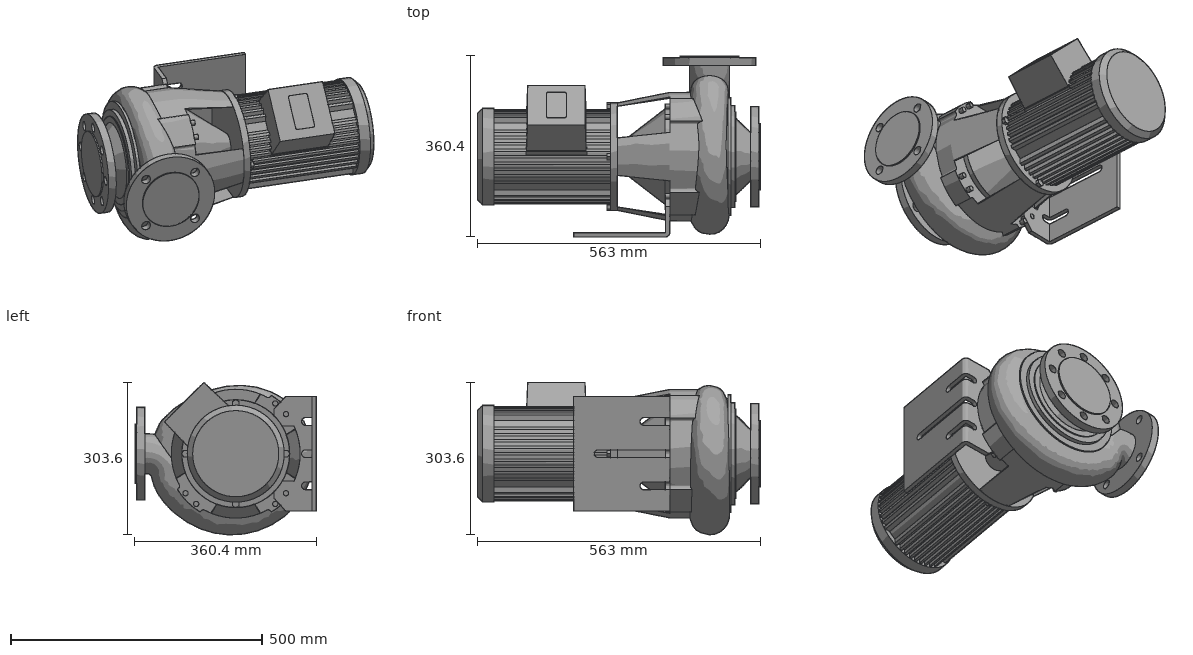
import cadquery as cq
import math


motor_rear_x = -462.0
motor_cap_front_x = -429.0
motor_cap_radius = 96.5
motor_cap_chamfer = 10.8
motor_body_radius = 85.2
fin_tip_radius = 94.0
fin_width = 5.0
fin_pitch = 12.7
fins_per_side = 4

box_tilt = 45.0
box_center_x = -304.7
box_top_height = 145.0
box_base_height = 72.5
box_top_length = 114.4
box_top_width = 111.0
box_base_length = 118.5
box_base_width = 115.0
box_gasket_length = 121.0
box_gasket_width = 116.0
box_gasket_thickness = 10.0
nameplate_length = 39.6
nameplate_width = 72.0
nameplate_thickness = 0.5
nameplate_corner = 4.0

flange_rear_x = -197.3
flange_front_x = -183.3
flange_radius = 215.0 / 2
screw_circle_radius = 100.0
screw_head_flats = 13.0
screw_head_height = 6.8

casing_face_x = -78.7
casing_radius = 128.2
arm_rear_radius = 107.0
arm_rear_inner_height = 100.0
arm_front_inner_height = 116.0
arm_rear_width = 75.0
arm_front_width = 96.6
hub_radius = 95.0
hub_length = 10.0
hub_cone_rear_radius = 22.0

lug_reach = 136.0
lug_half_width = 31.8
lug_root_fillet = 5.0
lug_angles = (45, 135, 225, 315)
stud_diameter = 10.43
stud_circle_radius = 127.2
stud_half_angle = 6.8
stud_length = 9.8

pipe_radius = 40.0
bend_radius = 48.6
bend_center_y = 176.0
volute_end_angle = 360 - math.degrees(math.atan2(bend_radius, bend_center_y))
volute_end_reach = math.hypot(bend_center_y, bend_radius) - bend_radius + pipe_radius
volute_stations = [
    (-8, 161.5, 37.5),
    (40, 149.0, 35.5),
    (90, 136.0, 34.7),
    (135, 145.5, 37.0),
    (180, 155.0, 39.0),
    (225, 158.0, 39.5),
    (270, 161.6, 40.0),
    (315, 169.5, 40.0),
    (volute_end_angle, volute_end_reach, pipe_radius),
]

core_radius = 110.0
cover_rear_x = 36.6
cover_front_x = 42.5
cover_radius = 235.12 / 2
collar_front_x = 50.4
collar_radius = 203.58 / 2
nozzle_rear_x = 52.7
nozzle_step_radius = 89.0
nozzle_rear_radius = 76.3
nozzle_front_radius = 48.0

pipe_flange_thickness = 16.0
raised_face_height = 3.0
flange_hole_diameter = 18.0
suction_face_x = 101.0
suction_flange_diameter = 200.0
suction_raised_diameter = 132.0
suction_hole_circle = 160.0
suction_hole_count = 8
suction_first_hole_angle = 0.0
discharge_face_y = 200.0
discharge_flange_diameter = 185.0
discharge_raised_diameter = 118.0
discharge_hole_circle = 145.0
discharge_hole_count = 4
discharge_first_hole_angle = 45.0

bracket_thickness = 9.0
bracket_foot_y = -160.36
bracket_rear_x = -270.5
bracket_half_height = 114.2
bracket_bend_radius = 10.2
bracket_inner_y = -76.4
bracket_neck_half_height = 89.0
bracket_shoulder_y = -99.5
bracket_opening_half_height = 54.7
slot_width = 15.4
slot_top_y = -131.0
side_slot_height = 64.0
side_slot_end_x = -138.0
middle_slot_end_x = -229.0


def turned(shape, angle):
    """Rotate a shape about the shaft axis."""
    return shape.rotate((0, 0, 0), (1, 0, 0), angle)


def disc(x_start, x_end, radius):
    """Cylinder on the shaft axis."""
    return cq.Workplane("YZ", origin=(x_start, 0, 0)).circle(radius).extrude(x_end - x_start)


def make_motor():
    """Finned motor body with a chamfered rear cap."""
    body_length = flange_rear_x - motor_cap_front_x
    motor = disc(motor_cap_front_x, flange_rear_x, motor_body_radius)
    fins = cq.Workplane("YZ", origin=(motor_cap_front_x, 0, 0))
    fin_places = [(k * fin_pitch, 0) for k in range(-fins_per_side, fins_per_side + 1)]
    upright_fins = fins.pushPoints(fin_places).rect(fin_width, 2 * fin_tip_radius).extrude(body_length)
    envelope = disc(motor_cap_front_x, flange_rear_x, fin_tip_radius)
    for angle in (0, 90):
        motor = motor.union(turned(upright_fins, angle).intersect(envelope))
    cap = disc(motor_rear_x, motor_cap_front_x, motor_cap_radius)
    cap = cap.faces("<X").chamfer(motor_cap_chamfer)
    return motor.union(cap)


def make_terminal_box():
    """Drafted box on a gasket block, with a thin nameplate on its lid."""
    lid_drop = box_top_height - box_base_height
    box = (
        cq.Workplane("XY", origin=(box_center_x, 0, box_base_height))
        .rect(box_base_length, box_base_width)
        .workplane(offset=lid_drop)
        .rect(box_top_length, box_top_width)
        .loft(ruled=True)
    )
    gasket = (
        cq.Workplane("XY", origin=(box_center_x, 0, box_base_height))
        .rect(box_gasket_length, box_gasket_width)
        .extrude(-box_gasket_thickness)
    )
    nameplate = (
        cq.Workplane("XY", origin=(box_center_x, 0, box_top_height))
        .rect(nameplate_length, nameplate_width)
        .extrude(nameplate_thickness)
        .edges("|Z")
        .fillet(nameplate_corner)
    )
    return turned(box.union(gasket).union(nameplate), -box_tilt)


def make_motor_flange():
    """Round flange with four hexagon screw heads on its rear face."""
    flange = disc(flange_rear_x, flange_front_x, flange_radius)
    across_corners = screw_head_flats / math.cos(math.radians(30))
    head = (
        cq.Workplane("YZ", origin=(flange_rear_x, screw_circle_radius, 0))
        .polygon(6, across_corners)
        .extrude(-screw_head_height)
    )
    for angle in (0, 90, 180, 270):
        flange = flange.union(turned(head, angle))
    return flange


def make_lantern():
    """Four tapered arms around an inner cone."""
    cone = (
        cq.Workplane("XY")
        .polyline([
            (flange_front_x, 0),
            (flange_front_x, arm_rear_radius),
            (casing_face_x, casing_radius),
            (casing_face_x, 0),
        ])
        .close()
        .revolve(360, (0, 0, 0), (1, 0, 0))
    )
    arm_plan = (
        cq.Workplane("XY")
        .polyline([
            (flange_front_x, -arm_rear_width / 2),
            (casing_face_x, -arm_front_width / 2),
            (casing_face_x, arm_front_width / 2),
            (flange_front_x, arm_rear_width / 2),
        ])
        .close()
        .extrude(casing_radius)
    )
    arm_side = (
        cq.Workplane("XZ")
        .polyline([
            (flange_front_x, arm_rear_inner_height),
            (casing_face_x, arm_front_inner_height),
            (casing_face_x, casing_radius),
            (flange_front_x, casing_radius),
        ])
        .close()
        .extrude(arm_front_width / 2, both=True)
    )
    arm = cone.intersect(arm_plan).intersect(arm_side)
    hub_rear_x = casing_face_x - hub_length
    lantern = (
        cq.Workplane("XY")
        .polyline([
            (flange_front_x, 0),
            (flange_front_x, hub_cone_rear_radius),
            (hub_rear_x, hub_radius),
            (casing_face_x, hub_radius),
            (casing_face_x, 0),
        ])
        .close()
        .revolve(360, (0, 0, 0), (1, 0, 0))
    )
    for angle in (0, 90, 180, 270):
        lantern = lantern.union(turned(arm, angle))
    return lantern


def make_casing():
    """Cylinder with four lugs, each holding a pair of studs."""
    casing = disc(casing_face_x, 0, casing_radius)
    lug_envelope = disc(casing_face_x, 0, lug_reach)
    lug = (
        cq.Workplane("YZ", origin=(casing_face_x, lug_reach / 2, 0))
        .rect(lug_reach, 2 * lug_half_width)
        .extrude(-casing_face_x)
        .intersect(lug_envelope)
    )
    for angle in lug_angles:
        casing = casing.union(turned(lug, angle))
    middle_radius = (casing_radius + lug_reach) / 2
    middle_along = math.sqrt(middle_radius ** 2 - lug_half_width ** 2)
    root_limit = (middle_along + lug_half_width) / math.sqrt(2)
    root_box = cq.selectors.BoxSelector(
        (casing_face_x, -root_limit, -root_limit), (0, root_limit, root_limit))
    casing = casing.edges("|X").edges(root_box).fillet(lug_root_fillet)
    stud = (
        cq.Workplane("YZ", origin=(casing_face_x, stud_circle_radius, 0))
        .circle(stud_diameter / 2)
        .extrude(-stud_length)
    )
    for angle in lug_angles:
        for side in (-stud_half_angle, stud_half_angle):
            casing = casing.union(turned(stud, angle + side))
    return casing


def make_volute():
    """Spiral tube through circular sections, ending in a bend towards +Y."""
    sections = []
    for angle, reach, radius in volute_stations:
        turn = math.radians(angle)
        outward = cq.Vector(0, math.cos(turn), math.sin(turn))
        along = cq.Vector(0, -math.sin(turn), math.cos(turn))
        section_plane = cq.Plane(outward * (reach - radius), -outward, along)
        sections.append(cq.Workplane(section_plane).circle(radius).wire().val())
    spiral = cq.Workplane(cq.Solid.makeLoft(sections))
    bend_angle = volute_end_angle - 270
    pipe_end = cq.Workplane("XZ", origin=(0, bend_center_y, 0))
    bend = pipe_end.circle(pipe_radius).revolve(
        bend_angle, (0, -bend_radius, 0), (1, -bend_radius, 0))
    straight = pipe_end.circle(pipe_radius).extrude(bend_center_y - discharge_face_y + raised_face_height)
    return spiral.union(bend).union(straight)


def make_pipe_flange(plane, diameter, raised_diameter, hole_circle, hole_count, first_hole_angle):
    """Drilled flange with a raised face, its sealing face on the given plane."""
    thickness = pipe_flange_thickness + raised_face_height
    return (
        cq.Workplane(plane)
        .circle(raised_diameter / 2)
        .extrude(-thickness)
        .union(cq.Workplane(plane).workplane(offset=-raised_face_height)
               .circle(diameter / 2).extrude(-pipe_flange_thickness))
        .cut(cq.Workplane(plane)
             .polarArray(hole_circle / 2, first_hole_angle, 360, hole_count)
             .circle(flange_hole_diameter / 2).extrude(-thickness))
    )


def make_suction_side():
    """Stepped cover and conical nozzle on the shaft axis."""
    flange_rear = suction_face_x - raised_face_height - pipe_flange_thickness
    return (
        cq.Workplane("XY")
        .polyline([
            (casing_face_x, 0),
            (casing_face_x, core_radius),
            (cover_rear_x, core_radius),
            (cover_rear_x, cover_radius),
            (cover_front_x, cover_radius),
            (cover_front_x, collar_radius),
            (collar_front_x, collar_radius),
            (collar_front_x, nozzle_step_radius),
            (nozzle_rear_x, nozzle_step_radius),
            (nozzle_rear_x, nozzle_rear_radius),
            (flange_rear, nozzle_front_radius),
            (flange_rear, 0),
        ])
        .close()
        .revolve(360, (0, 0, 0), (1, 0, 0))
    )


def make_bracket():
    """Bent plate: an upright bolted to the casing face and a foot along the motor."""
    upright_rear_x = casing_face_x - bracket_thickness
    upright = (
        cq.Workplane("YZ", origin=(upright_rear_x, 0, 0))
        .polyline([
            (bracket_foot_y, -bracket_half_height),
            (bracket_shoulder_y, -bracket_half_height),
            (bracket_inner_y, -bracket_neck_half_height),
            (bracket_inner_y, bracket_neck_half_height),
            (bracket_shoulder_y, bracket_half_height),
            (bracket_foot_y, bracket_half_height),
        ])
        .close()
        .extrude(bracket_thickness)
    )
    opening = disc(upright_rear_x, casing_face_x, casing_radius).intersect(
        cq.Workplane("XY").box(-2 * bracket_rear_x, 2 * casing_radius, 2 * bracket_opening_half_height))
    foot_length = casing_face_x - bracket_rear_x
    foot = cq.Workplane("XY").box(
        foot_length, bracket_thickness, 2 * bracket_half_height, centered=(False, False, True)
    ).translate((bracket_rear_x, bracket_foot_y, 0))
    bracket = upright.cut(opening).union(foot)
    bracket = bracket.edges("|Z and >X and <Y").fillet(bracket_bend_radius)
    slots = (
        (-side_slot_height, side_slot_end_x),
        (0, middle_slot_end_x),
        (side_slot_height, side_slot_end_x),
    )
    for height, end_x in slots:
        bracket = bracket.cut(make_slot(height, end_x))
    return bracket


def make_slot(height, end_x):
    """Round-ended slot in the foot that runs on around the bend into the upright."""
    half_width = slot_width / 2
    foot_slot = (
        cq.Workplane("XZ", origin=(0, bracket_foot_y + bracket_thickness, 0))
        .moveTo(casing_face_x, height - half_width)
        .lineTo(end_x + half_width, height - half_width)
        .threePointArc((end_x, height), (end_x + half_width, height + half_width))
        .lineTo(casing_face_x, height + half_width)
        .close()
        .extrude(bracket_thickness)
    )
    upright_slot = (
        cq.Workplane("YZ", origin=(casing_face_x, 0, 0))
        .moveTo(bracket_foot_y, height - half_width)
        .lineTo(slot_top_y - half_width, height - half_width)
        .threePointArc((slot_top_y, height), (slot_top_y - half_width, height + half_width))
        .lineTo(bracket_foot_y, height + half_width)
        .close()
        .extrude(-bracket_thickness)
    )
    return foot_slot.union(upright_slot)


suction_plane = cq.Plane(origin=(suction_face_x, 0, 0), xDir=(0, 1, 0), normal=(1, 0, 0))
discharge_plane = cq.Plane(origin=(0, discharge_face_y, 0), xDir=(1, 0, 0), normal=(0, 1, 0))
suction_flange = make_pipe_flange(
    suction_plane, suction_flange_diameter, suction_raised_diameter,
    suction_hole_circle, suction_hole_count, suction_first_hole_angle)
discharge_flange = make_pipe_flange(
    discharge_plane, discharge_flange_diameter, discharge_raised_diameter,
    discharge_hole_circle, discharge_hole_count, discharge_first_hole_angle)

result = (
    make_motor()
    .union(make_terminal_box())
    .union(make_motor_flange())
    .union(make_lantern())
    .union(make_casing())
    .union(make_suction_side())
    .union(make_volute())
    .union(suction_flange)
    .union(discharge_flange)
    .union(make_bracket())
)